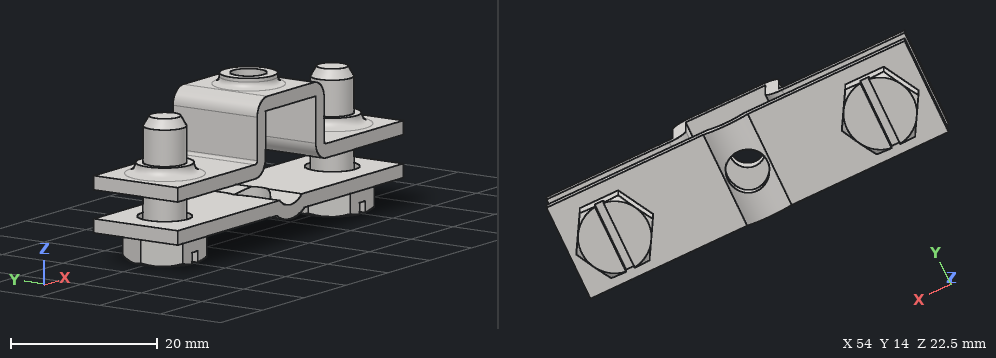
import cadquery as cq
import math

LENGTH = 54.0
WIDTH = 14.0
THICKNESS = 2.0
BOLT_SPACING = 40.0

BOLT_DIAMETER = 6.0
BOLT_HEIGHT = 20.0
HEAD_HEIGHT = 4.0
HEAD_ACROSS_FLATS = 10.0
HEAD_SIDES = 6
HEAD_CHAMFER_ANGLE = 30.0
SLOT_WIDTH = 1.3
SLOT_DEPTH = 1.6
TIP_CHAMFER_WIDTH = 0.8
TIP_CHAMFER_HEIGHT = 1.4

TROUGH_DEPTH = 1.0
TROUGH_INNER_RADIUS = 4.0
BOLT_CLEARANCE_DIAMETER = 7.5
TROUGH_HOLE_DIAMETER = 6.0

PLATE_GAP = 4.0
CHANNEL_RISE = 9.0
CHANNEL_WIDTH = 16.0
INNER_BEND_RADIUS = 0.5

COLLAR_DIAMETER = 8.0
COLLAR_HEIGHT = 1.5
CENTRE_COLLAR_FLARE = 1.0
CENTRE_HOLE_DIAMETER = 5.0

PLATE_BOTTOM = HEAD_HEIGHT
PLATE_TOP = PLATE_BOTTOM + THICKNESS
FLANGE_BOTTOM = PLATE_TOP + PLATE_GAP
FLANGE_TOP = FLANGE_BOTTOM + THICKNESS
BRIDGE_TOP = FLANGE_TOP + CHANNEL_RISE
BRIDGE_BOTTOM = BRIDGE_TOP - THICKNESS
OUTER_BEND_RADIUS = INNER_BEND_RADIUS + THICKNESS
BOLT_PLACES = [-BOLT_SPACING / 2, BOLT_SPACING / 2]


def upright_cylinder(x, diameter, bottom, top):
    """Cylinder on the centre line of the part, with its axis along Z."""
    return cq.Workplane("XY", origin=(x, 0, bottom)).circle(diameter / 2).extrude(top - bottom)


def extrude_across_width(profile):
    """Extrude a closed XZ profile symmetrically over the plate width."""
    return profile.extrude(WIDTH / 2, both=True)


def make_lower_plate():
    half_length = LENGTH / 2
    trough_outer_radius = TROUGH_INNER_RADIUS + THICKNESS
    centre_above_face = TROUGH_INNER_RADIUS - TROUGH_DEPTH
    inner_half_width = math.sqrt(TROUGH_INNER_RADIUS**2 - centre_above_face**2)
    outer_half_width = math.sqrt(trough_outer_radius**2 - (centre_above_face + THICKNESS) ** 2)

    profile = (
        cq.Workplane("XZ")
        .moveTo(-half_length, PLATE_TOP)
        .lineTo(-inner_half_width, PLATE_TOP)
        .threePointArc((0, PLATE_TOP - TROUGH_DEPTH), (inner_half_width, PLATE_TOP))
        .lineTo(half_length, PLATE_TOP)
        .lineTo(half_length, PLATE_BOTTOM)
        .lineTo(outer_half_width, PLATE_BOTTOM)
        .threePointArc((0, PLATE_BOTTOM - TROUGH_DEPTH), (-outer_half_width, PLATE_BOTTOM))
        .lineTo(-half_length, PLATE_BOTTOM)
        .close()
    )
    plate = extrude_across_width(profile)

    for x in BOLT_PLACES:
        plate = plate.cut(upright_cylinder(x, BOLT_CLEARANCE_DIAMETER, PLATE_BOTTOM, PLATE_TOP))
    return plate.cut(upright_cylinder(0, TROUGH_HOLE_DIAMETER, 0, PLATE_TOP))


def make_bent_strip():
    """Strap blank: two flanges joined by the raised channel."""
    half_length = LENGTH / 2
    half_outside = CHANNEL_WIDTH / 2
    half_inside = half_outside - THICKNESS

    profile = cq.Workplane("XZ").polyline(
        [
            (-half_length, FLANGE_BOTTOM),
            (-half_inside, FLANGE_BOTTOM),
            (-half_inside, BRIDGE_BOTTOM),
            (half_inside, BRIDGE_BOTTOM),
            (half_inside, FLANGE_BOTTOM),
            (half_length, FLANGE_BOTTOM),
            (half_length, FLANGE_TOP),
            (half_outside, FLANGE_TOP),
            (half_outside, BRIDGE_TOP),
            (-half_outside, BRIDGE_TOP),
            (-half_outside, FLANGE_TOP),
            (-half_length, FLANGE_TOP),
        ]
    ).close()
    strip = extrude_across_width(profile)

    bend_corners = [
        (half_outside, FLANGE_TOP, INNER_BEND_RADIUS),
        (half_inside, FLANGE_BOTTOM, OUTER_BEND_RADIUS),
        (half_outside, BRIDGE_TOP, OUTER_BEND_RADIUS),
    ]
    for x, z, radius in bend_corners:
        for side in (-1, 1):
            corner = cq.selectors.NearestToPointSelector((side * x, 0, z))
            strip = strip.edges("|Y").edges(corner).fillet(radius)
    return strip


def make_collar(x, base, flare_radius):
    """Collar that stands on the face at height base and flares out into it."""
    collar_radius = COLLAR_DIAMETER / 2
    flare_reach = collar_radius + flare_radius
    flare_top = base + flare_radius
    arc_offset = flare_radius * math.sqrt(0.5)

    outline = (
        cq.Workplane("XZ")
        .moveTo(0, base)
        .lineTo(flare_reach, base)
        .threePointArc((flare_reach - arc_offset, flare_top - arc_offset), (collar_radius, flare_top))
    )
    if flare_radius < COLLAR_HEIGHT:
        outline = outline.lineTo(collar_radius, base + COLLAR_HEIGHT)
    outline = outline.lineTo(0, base + COLLAR_HEIGHT).close()
    return outline.revolve(360, (0, 0, 0), (0, 1, 0)).translate((x, 0, 0))


def make_strap():
    strap = make_bent_strip()

    for x in BOLT_PLACES:
        strap = strap.union(make_collar(x, FLANGE_TOP, COLLAR_HEIGHT))
        strap = strap.cut(upright_cylinder(x, BOLT_DIAMETER, FLANGE_BOTTOM, FLANGE_TOP + COLLAR_HEIGHT))

    strap = strap.union(make_collar(0, BRIDGE_TOP, CENTRE_COLLAR_FLARE))
    centre_hole = upright_cylinder(0, CENTRE_HOLE_DIAMETER, BRIDGE_BOTTOM, BRIDGE_TOP + COLLAR_HEIGHT)
    return strap.cut(centre_hole)


def make_bolt_head():
    """Hexagonal head with chamfered lower corners and a screwdriver slot along Y."""
    across_corners = HEAD_ACROSS_FLATS / math.cos(math.pi / HEAD_SIDES)
    head = cq.Workplane("XY").polygon(HEAD_SIDES, across_corners).extrude(HEAD_HEIGHT)

    flat_radius = HEAD_ACROSS_FLATS / 2
    corner_radius = across_corners / 2
    chamfer_height = (corner_radius - flat_radius) * math.tan(math.radians(HEAD_CHAMFER_ANGLE))
    chamfer_envelope = (
        cq.Workplane("XZ")
        .polyline(
            [
                (0, 0),
                (flat_radius, 0),
                (corner_radius, chamfer_height),
                (corner_radius, HEAD_HEIGHT),
                (0, HEAD_HEIGHT),
            ]
        )
        .close()
        .revolve(360, (0, 0, 0), (0, 1, 0))
    )
    head = head.intersect(chamfer_envelope)

    slot = cq.Workplane("XY").rect(SLOT_WIDTH, across_corners).extrude(SLOT_DEPTH)
    return head.cut(slot)


def make_bolt(x):
    shank_base = cq.Workplane("XY", origin=(0, 0, HEAD_HEIGHT)).circle(BOLT_DIAMETER / 2)
    shank = shank_base.extrude(BOLT_HEIGHT - HEAD_HEIGHT)
    shank = shank.faces(">Z").chamfer(TIP_CHAMFER_HEIGHT, TIP_CHAMFER_WIDTH)
    return make_bolt_head().union(shank).translate((x, 0, 0))


lower_plate = make_lower_plate()
strap = make_strap()
bolts = [make_bolt(x) for x in BOLT_PLACES]

result = cq.Compound.makeCompound([lower_plate.val(), strap.val(), *[bolt.val() for bolt in bolts]])